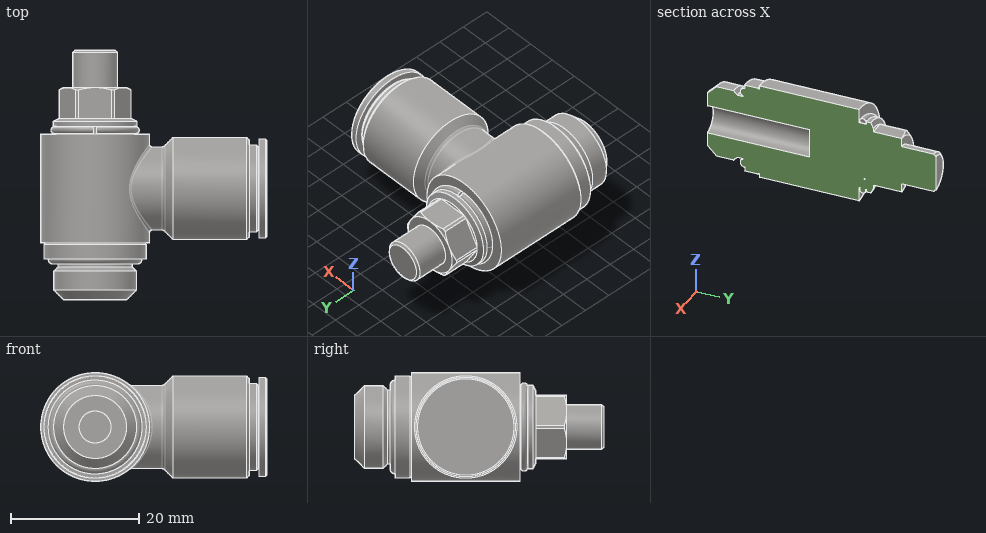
import cadquery as cq
import math


body_radius = 8.5
body_half_length = body_radius

screw_end = -17.4
gap_radius = 7.88
gap_length = 0.25
flange_radius = 8.0
flange_end = -11.05
seal_section_radius = 0.78
seal_ring_radius = 6.55
relief_radius = 5.8
thread_radius = 6.48
thread_start = -12.9
thread_lead_in = 1.55
bore_radius = 2.5

groove_radius = 6.1
groove_end = 9.7
collar_radius = 6.55
collar_top_radius = 5.6
collar_chamfer_height = 0.45
collar_end = 10.95
hex_across_flats = 10.0
hex_corner_radius = 5.6
hex_end = 15.75
hex_chamfer_angle = 30
stem_radius = 3.5
stem_chamfer = 0.4
stem_end = screw_end + 39

snap_section_radius = 0.55
snap_ring_radius = 6.35
snap_gap = 0.5

neck_radius = 6.5
neck_body_fillet = 0.4
neck_cone_fillet = 0.65
socket_radius = 8.0
socket_start = 12.17
socket_end = 24.05
socket_chamfer = 0.43
collet_radius = 6.83
collet_chamfer = 0.27
collet_tip_length = 0.1
release_ring_radius = 7.75
release_ring_start = 25.55
release_ring_chamfer = 0.25
branch_end = 26.8


def turned_about_y(points):
    """Revolve an (X, Y) half-outline about the Y axis."""
    return cq.Workplane("XY").polyline(points).close().revolve(360, (0, 0), (0, 1))


def turned_about_x(points):
    """Revolve an (X, Y) half-outline about the X axis."""
    return cq.Workplane("XY").polyline(points).close().revolve(360, (0, 0), (1, 0))


def cylinder_along_y(radius, start, end):
    return turned_about_y([(0, start), (radius, start), (radius, end), (0, end)])


def ring_about_y(ring_radius, section_radius, height):
    """Round-section ring centred on the Y axis."""
    section = cq.Workplane("XY").center(-ring_radius, height).circle(section_radius)
    return section.revolve(360, (ring_radius, 0), (ring_radius, 1))


def make_body_and_neck():
    """Body sleeve with the neck of the branch blended into its side."""
    body = cylinder_along_y(body_radius, -body_half_length, body_half_length)
    neck = cq.Workplane("YZ").circle(neck_radius).extrude(socket_start)
    joined = body.union(neck)
    margin = 0.4
    seam_box = cq.selectors.BoxSelector(
        (margin, -neck_radius - margin, -neck_radius - margin),
        (body_radius + margin, neck_radius + margin, neck_radius + margin),
        boundingbox=True,
    )
    return joined.edges(seam_box).fillet(neck_body_fillet)


def make_branch_end():
    """Tube socket, collet and release ring at the end of the branch."""
    cone_foot = socket_start - (socket_radius - neck_radius)
    half_turn = math.radians(45 / 2)
    tangent_length = neck_cone_fillet * math.tan(half_turn)
    diagonal = tangent_length * math.sqrt(0.5)
    arc_mid_x = neck_cone_fillet * math.sin(half_turn)
    arc_mid_r = neck_cone_fillet * (1 - math.cos(half_turn))
    arc_start = cone_foot - tangent_length
    outline = (
        cq.Workplane("XY")
        .moveTo(arc_start, 0)
        .lineTo(arc_start, neck_radius)
        .threePointArc(
            (arc_start + arc_mid_x, neck_radius + arc_mid_r),
            (cone_foot + diagonal, neck_radius + diagonal),
        )
        .lineTo(socket_start, socket_radius)
        .lineTo(socket_end - socket_chamfer, socket_radius)
        .lineTo(socket_end, socket_radius - socket_chamfer)
        .lineTo(socket_end, 0)
        .close()
    )
    socket = outline.revolve(360, (0, 0), (1, 0))

    collet_end = release_ring_start - collet_tip_length
    collet_tip_radius = collet_radius - collet_chamfer
    collet_and_ring = turned_about_x([
        (socket_end, 0),
        (socket_end, collet_radius),
        (collet_end - collet_chamfer, collet_radius),
        (collet_end, collet_tip_radius),
        (release_ring_start, collet_tip_radius),
        (release_ring_start, release_ring_radius),
        (branch_end - release_ring_chamfer, release_ring_radius),
        (branch_end, release_ring_radius - release_ring_chamfer),
        (branch_end, 0),
    ])
    return socket.union(collet_and_ring)


def make_screw_end():
    """Flange, face seal, relief and chamfered thread blank."""
    gap_end = -body_half_length - gap_length
    relief_end = thread_start + (thread_radius - relief_radius)
    turned = turned_about_y([
        (0, -body_half_length),
        (gap_radius, -body_half_length),
        (gap_radius, gap_end),
        (flange_radius, gap_end),
        (flange_radius, flange_end),
        (relief_radius, flange_end),
        (relief_radius, relief_end),
        (thread_radius, thread_start),
        (thread_radius, screw_end + thread_lead_in),
        (thread_radius - thread_lead_in, screw_end),
        (0, screw_end),
    ])
    return turned.union(ring_about_y(seal_ring_radius, seal_section_radius, flange_end))


def make_hex():
    """Hexagon with flats facing +Z and -Z, its corners turned down and top chamfered."""
    corner_diameter = hex_across_flats / math.cos(math.radians(30))
    prism = (
        cq.Workplane("XZ", origin=(0, collar_end, 0))
        .polygon(6, corner_diameter)
        .extrude(collar_end - hex_end)
    )
    chamfer_top_radius = hex_across_flats / 2
    chamfer_drop = (hex_corner_radius - chamfer_top_radius) * math.tan(math.radians(hex_chamfer_angle))
    envelope = turned_about_y([
        (0, collar_end),
        (hex_corner_radius, collar_end),
        (hex_corner_radius, hex_end - chamfer_drop),
        (chamfer_top_radius, hex_end),
        (0, hex_end),
    ])
    return prism.intersect(envelope)


def make_snap_ring():
    """Snap ring with its opening on the +Z side."""
    height = (body_half_length + groove_end) / 2
    opening = (
        cq.Workplane("XY", origin=(0, height, 0))
        .rect(snap_gap, 4 * snap_section_radius)
        .extrude(2 * snap_ring_radius)
    )
    return ring_about_y(snap_ring_radius, snap_section_radius, height).cut(opening)


def make_adjuster_end():
    """Groove, collar, hexagon and stem above the body."""
    collar = turned_about_y([
        (0, body_half_length),
        (groove_radius, body_half_length),
        (groove_radius, groove_end),
        (collar_radius, groove_end),
        (collar_radius, collar_end - collar_chamfer_height),
        (collar_top_radius, collar_end),
        (0, collar_end),
    ])
    stem = cylinder_along_y(stem_radius, hex_end, stem_end).faces(">Y").chamfer(stem_chamfer)
    return collar.union(make_snap_ring()).union(make_hex()).union(stem)


bore = cylinder_along_y(bore_radius, screw_end, 0)

result = (
    make_body_and_neck()
    .union(make_branch_end())
    .union(make_screw_end())
    .union(make_adjuster_end())
    .cut(bore)
)